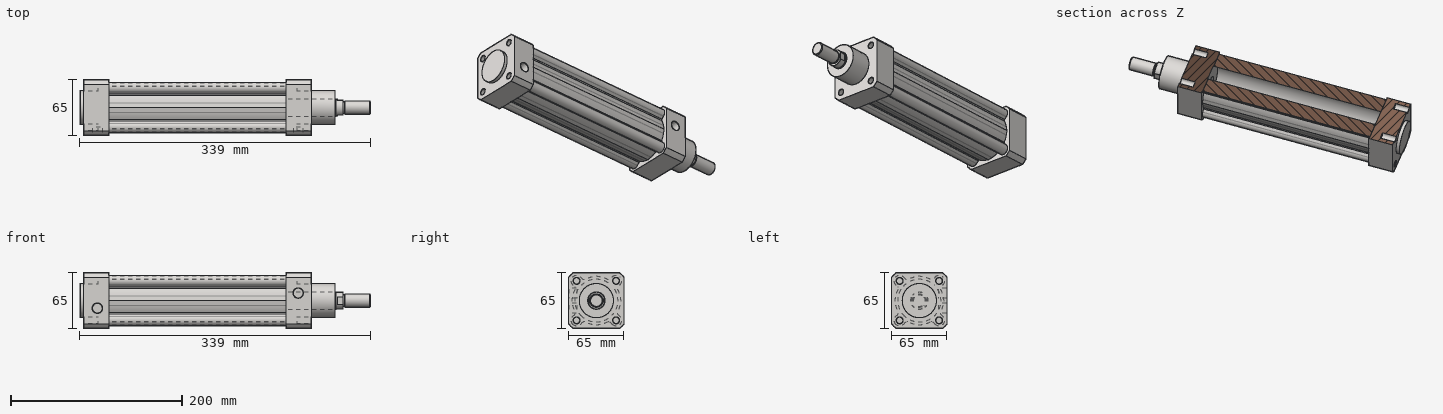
import cadquery as cq
import math

total_length = 339.0
boss_length = 4.0
cap_length = 29.5
barrel_length = 206.8
collar_length = 27.8
rear_end = -total_length / 2
rear_cap_start = rear_end + boss_length
barrel_start = rear_cap_start + cap_length
front_cap_start = barrel_start + barrel_length
collar_start = front_cap_start + cap_length
rod_tip = total_length / 2

cap_width = 65.0
cap_corner_diameter = 84.8
boss_radius = 20.0
port_radius = 5.8
port_chamfer = 0.5
port_depth = 10.2
port_height = 8.8
rear_port_x = -149.5
front_port_x = 85.0
screw_spacing = 46.0
screw_hole_radius = 3.7
screw_hole_chamfer = 0.5
screw_hole_depth = 17.0

bore_radius = 25.0
shell_radius = 28.0
ridge_half_width = 5.5
lobe_radius = 6.5
lobe_offset = screw_spacing / 2
valley_offset = 14.0
slope_angle = math.radians(12)

rod_radius = 10.0
rod_base_radius = 10.2
rod_base_end = 129.5
rod_shoulder = 137.5
flat_start = 131.0
flat_half_gap = 8.8
thread_start = 139.3
thread_radius = 7.8
thread_lead_in = 0.7
thread_tip_chamfer = 1.0
neck_radius = thread_radius - thread_lead_in


def disc(start, length, radius):
    """Solid cylinder along +X."""
    return cq.Workplane("YZ", origin=(start, 0, 0)).circle(radius).extrude(length)


def end_cap(start):
    """Square block whose corners are rounded by a cylinder concentric with the axis."""
    block = cq.Workplane("YZ", origin=(start, 0, 0)).rect(cap_width, cap_width).extrude(cap_length)
    return block.intersect(disc(start, cap_length, cap_corner_diameter / 2))


def port(x, z):
    """Blind air port with a chamfered mouth, entering a cap from its -Y side."""
    bore = cq.Workplane("XZ", origin=(x, -cap_width / 2, z)).circle(port_radius).extrude(-port_depth)
    mouth = cq.Solid.makeCone(
        port_radius + port_chamfer,
        port_radius,
        port_chamfer,
        cq.Vector(x, -cap_width / 2, z),
        cq.Vector(0, 1, 0),
    )
    return bore.union(cq.Workplane(mouth))


def screw_holes(face_x, direction):
    """Four blind chamfered holes running from an outer cap face into the cap."""
    profile = [
        (0, 0),
        (0, screw_hole_radius + screw_hole_chamfer),
        (direction * screw_hole_chamfer, screw_hole_radius),
        (direction * screw_hole_depth, screw_hole_radius),
        (direction * screw_hole_depth, 0),
    ]
    hole = cq.Workplane("XY").polyline(profile).close().revolve(360, (0, 0, 0), (1, 0, 0))
    holes = cq.Workplane("XY")
    for y in (-lobe_offset, lobe_offset):
        for z in (-lobe_offset, lobe_offset):
            holes = holes.add(hole.translate((face_x, y, z)))
    return holes.combine()


def make_rear_cap():
    """Rear cap with a short centering boss, an air port and four screw holes."""
    cap = end_cap(rear_cap_start).union(disc(rear_end, boss_length, boss_radius))
    cap = cap.cut(port(rear_port_x, -port_height))
    return cap.cut(screw_holes(rear_cap_start, 1))


def make_front_cap():
    """Front cap with a guide collar, an air port, four screw holes and the rod bore."""
    cap = end_cap(front_cap_start).union(disc(collar_start, collar_length, boss_radius))
    cap = cap.cut(port(front_port_x, port_height))
    cap = cap.cut(screw_holes(collar_start, -1))
    return cap.cut(disc(front_cap_start, cap_length + collar_length, rod_base_radius))


def quarter_turn(point, turns):
    """Turn a (y, z) point about the axis by whole quarter turns."""
    y, z = point
    for _ in range(turns):
        y, z = -z, y
    return (y, z)


def make_barrel():
    """Round tube with four tie-rod lobes and a shallow roof-shaped ridge on each side."""
    ridge_angle = math.asin(ridge_half_width / shell_radius)
    ridge_top = shell_radius / math.cos(ridge_angle)
    valley_height = math.sqrt(shell_radius**2 - valley_offset**2)
    valley_angle = math.asin(valley_offset / shell_radius)
    mid_angle = (ridge_angle + valley_angle) / 2
    lobe_diagonal = lobe_radius / math.sqrt(2)
    tangent_offset = lobe_offset - lobe_diagonal
    tangent_height = lobe_offset + lobe_diagonal
    slope = math.tan(slope_angle)
    flank_rise = tangent_height - tangent_offset
    slope_end_offset = (valley_height - valley_offset * slope - flank_rise) / (1 - slope)
    slope_end_height = slope_end_offset + flank_rise

    def on_shell(angle):
        return (shell_radius * math.sin(angle), shell_radius * math.cos(angle))

    outline = cq.Workplane("YZ", origin=(barrel_start, 0, 0)).moveTo(0, ridge_top)
    for turn in range(4):
        def place(y, z):
            return quarter_turn((-y, z), turn)

        outline = (
            outline.lineTo(*place(*on_shell(ridge_angle)))
            .threePointArc(place(*on_shell(mid_angle)), place(valley_offset, valley_height))
            .lineTo(*place(slope_end_offset, slope_end_height))
            .lineTo(*place(tangent_offset, tangent_height))
            .threePointArc(
                place(tangent_height, tangent_height),
                place(tangent_height, tangent_offset),
            )
            .lineTo(*place(slope_end_height, slope_end_offset))
            .lineTo(*place(valley_height, valley_offset))
            .threePointArc(
                place(*reversed(on_shell(mid_angle))),
                place(*reversed(on_shell(ridge_angle))),
            )
        )
        if turn < 3:
            outline = outline.lineTo(*place(ridge_top, 0))
    barrel = outline.close().extrude(barrel_length)
    return barrel.cut(disc(barrel_start, barrel_length, bore_radius))


def make_rod():
    """Stepped rod with two wrench flats, a neck and a chamfered threaded end."""
    rod = disc(front_cap_start, rod_base_end - front_cap_start, rod_base_radius)
    rod = rod.union(disc(rod_base_end, rod_shoulder - rod_base_end, rod_radius))

    flat_length = rod_shoulder - flat_start
    flat_cut_depth = rod_radius - flat_half_gap
    for side in (-1, 1):
        waste = cq.Workplane("XY").box(flat_length, flat_cut_depth, 2 * rod_radius)
        center = ((flat_start + rod_shoulder) / 2, side * (flat_half_gap + flat_cut_depth / 2), 0)
        rod = rod.cut(waste.translate(center))

    neck = disc(rod_shoulder, thread_start - rod_shoulder, neck_radius)
    thread = disc(thread_start, rod_tip - thread_start, thread_radius)
    thread = thread.faces("<X").chamfer(thread_lead_in)
    thread = thread.faces(">X").chamfer(thread_tip_chamfer)
    return rod.union(neck).union(thread)


rear_cap = make_rear_cap()
barrel = make_barrel()
front_cap = make_front_cap()
rod = make_rod()
result = cq.Compound.makeCompound([rear_cap.val(), barrel.val(), front_cap.val(), rod.val()])